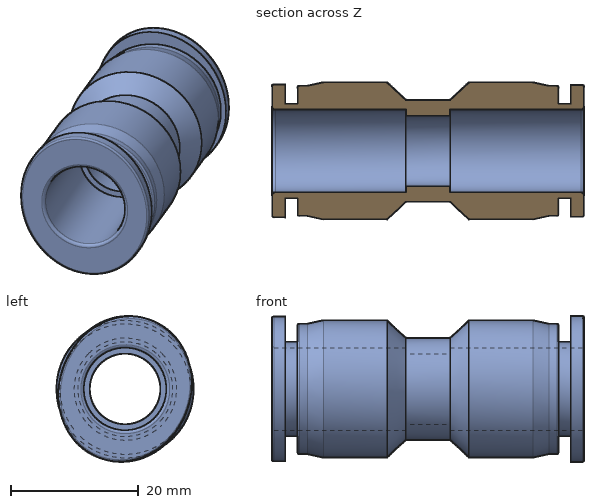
import cadquery as cq


half_length = 24.4
flange_thickness = 2.1
flange_inner_x = half_length - flange_thickness
body_end_x = 20.4
land_inner_x = 18.9
taper_inner_x = 16.4
barrel_inner_x = 6.4
neck_half_length = 3.45

barrel_diameter = 21.5
land_diameter = 20.4
neck_diameter = 16.0
sleeve_diameter = 14.8
body_end_fillet = 0.3

through_diameter = 11.0
tube_bore_diameter = 12.9
tube_stop_x = neck_half_length
mouth_fillet = 0.5

flange_major_diameter = 23.0
flange_minor_diameter = 20.5
flange_fillet = 0.3
left_flange_turn = 22.0
right_flange_turn = 14.5

flanges = [(-1, left_flange_turn), (1, right_flange_turn)]


def x_cylinder(diameter, x_start, x_end):
    """Solid cylinder on the X axis between two stations."""
    return cq.Workplane("YZ", origin=(x_start, 0, 0)).circle(diameter / 2).extrude(x_end - x_start)


def outer_face(direction):
    """Selector of the outermost face towards -X or +X."""
    return ">X" if direction > 0 else "<X"


def body():
    """Two tapered barrels joined by a neck, revolved about X."""
    half_profile = [
        (neck_half_length, neck_diameter / 2),
        (barrel_inner_x, barrel_diameter / 2),
        (taper_inner_x, barrel_diameter / 2),
        (land_inner_x, land_diameter / 2),
        (body_end_x, land_diameter / 2),
        (body_end_x, 0),
    ]
    mirrored_profile = [(-x, radius) for x, radius in reversed(half_profile)]
    turned = (
        cq.Workplane("XY")
        .polyline(mirrored_profile + half_profile)
        .close()
        .revolve(360, (0, 0, 0), (1, 0, 0))
    )
    return turned.faces("<X or >X").edges().fillet(body_end_fillet)


def flange(direction, turn):
    """Elliptical flange with a rounded outer rim."""
    plate = (
        cq.Workplane("YZ", origin=(direction * flange_inner_x, 0, 0))
        .ellipse(flange_minor_diameter / 2, flange_major_diameter / 2)
        .extrude(direction * flange_thickness)
        .faces(outer_face(direction))
        .edges()
        .fillet(flange_fillet)
    )
    return plate.rotate((0, 0, 0), (1, 0, 0), turn)


def tube_bore(direction):
    """Cutter for one tube bore, from the tube stop out to the end face."""
    return x_cylinder(tube_bore_diameter, direction * tube_stop_x, direction * half_length)


def round_mouth(solid, direction):
    """Round the edge where a tube bore opens on its end face."""
    return solid.faces(outer_face(direction)).edges("%CIRCLE").fillet(mouth_fillet)


result = body().union(x_cylinder(sleeve_diameter, -flange_inner_x, flange_inner_x))
for direction, turn in flanges:
    result = result.union(flange(direction, turn))

result = result.cut(x_cylinder(through_diameter, -half_length, half_length))
for direction in (-1, 1):
    result = result.cut(tube_bore(direction))
    result = round_mouth(result, direction)